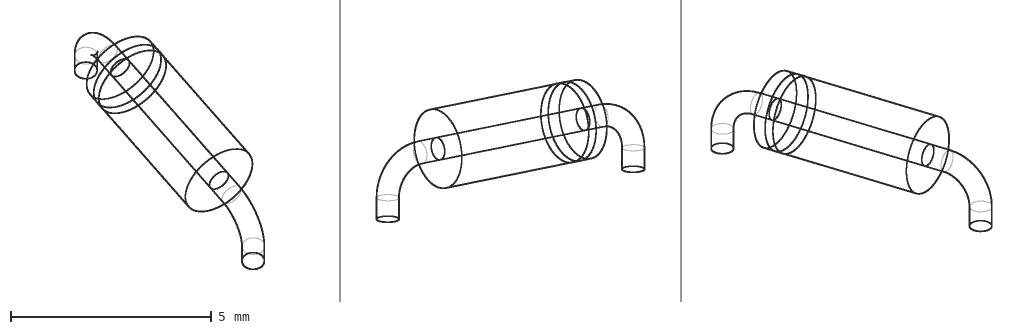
import cadquery as cq

overall_length = 8.18
body_length = 4.5
body_diameter = 2.005
band_diameter = 2.01
band_offset = 0.335
band_width = 0.23
wire_diameter = 0.565
bend_radius = 1.0
lead_drop = 1.56

body_start = -body_length / 2
leg_x = (overall_length - wire_diameter) / 2
bend_start_x = leg_x - bend_radius


def x_cylinder(start, length, diameter):
    """Solid cylinder along X, from the given start."""
    return cq.Workplane("YZ", origin=(start, 0, 0)).circle(diameter / 2).extrude(length)


def make_wire():
    """One wire running through the body, with both ends bent down."""
    path = (
        cq.Workplane("XZ")
        .moveTo(-leg_x, -lead_drop)
        .lineTo(-leg_x, -bend_radius)
        .radiusArc((-bend_start_x, 0), bend_radius)
        .lineTo(bend_start_x, 0)
        .radiusArc((leg_x, -bend_radius), bend_radius)
        .lineTo(leg_x, -lead_drop)
    )
    tip = cq.Workplane("XY", origin=(-leg_x, 0, -lead_drop))
    return tip.circle(wire_diameter / 2).sweep(path)


def make_body():
    """Cylindrical body with a through bore for the wire."""
    bore = x_cylinder(body_start, body_length, wire_diameter)
    return x_cylinder(body_start, body_length, body_diameter).cut(bore)


def make_band():
    """Thin polarity sleeve around the body near its -X end."""
    band_start = body_start + band_offset
    inside = x_cylinder(band_start, band_width, body_diameter)
    return x_cylinder(band_start, band_width, band_diameter).cut(inside)


body = make_body()
band = make_band()
wire = make_wire()

result = cq.Compound.makeCompound([body.val(), band.val(), wire.val()])